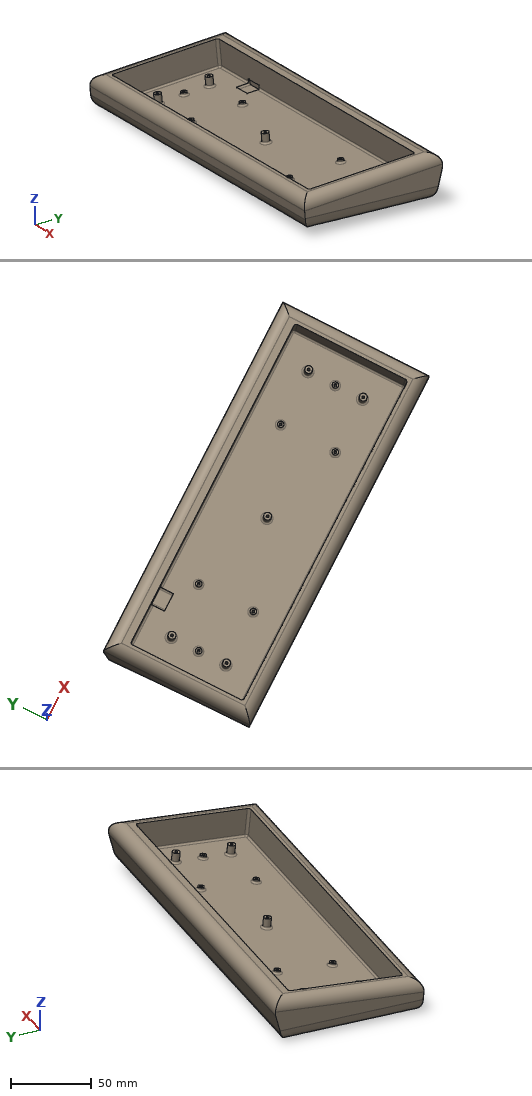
import cadquery as cq
import math

KEY_PITCH = 19.05
TYPING_TILT = 5.0
SIDE_TILT = 1.0
BACK_LEAN = 15.0

CASE_LENGTH = 250.0
FRONT_REACH = 49.8
TOP_DEPTH = 105.66
CENTRE_HEIGHT = 26.34
TOP_EDGE_RADIUS = 8.0
LOWER_BLEND_SIZE = 8.75
LOWER_BLEND_PULL = 0.65

CAVITY_LENGTH = 12 * KEY_PITCH + 1.0
CAVITY_WIDTH = 4 * KEY_PITCH + 2.5
CAVITY_DEPTH = 19.5
CAVITY_CORNER_RADIUS = 1.75
FLOOR_FILLET = 1.25

TALL_DIAMETER = 5.0
TALL_HEIGHT = 7.0
SHORT_DIAMETER = 4.0
SHORT_HEIGHT = 2.2
SCREW_HOLE_DIAMETER = 1.62
STANDOFF_FILLET = 1.3

RECESS_LENGTH = 12.5
RECESS_REACH = 9.0
RECESS_WALL_BITE = 1.0
RECESS_HEIGHT = 4.0
RECESS_DEPTH = 1.2
RECESS_CENTRE_X = -75.9
RECESS_FILLET = 1.1

TALL_POSITIONS = [(0, 0), (-5, -1), (-5, 1), (5, -1), (5, 1)]
SHORT_POSITIONS = [(-5, 0), (5, 0), (-3, -1), (-3, 1), (3, -1), (3, 1)]

ORIGIN = (0, 0, 0)
X_AXIS = (1, 0, 0)
Y_AXIS = (0, 1, 0)
FLOOR_Z = -CAVITY_DEPTH


def tilt_to_top_face(shape):
    """Turn a shape from the frame of the top face to the level frame."""
    return shape.rotate(ORIGIN, X_AXIS, TYPING_TILT)


def blended_outline(plane, left_top, left_bottom, right_bottom, right_top):
    """Closed four-sided outline whose two lower corners are blended smoothly."""
    corners = [cq.Vector(*point) for point in (left_top, left_bottom, right_bottom, right_top)]
    outline = cq.Workplane(plane).moveTo(*left_top)
    for before, corner, after in zip(corners, corners[1:], corners[2:]):
        toward_before = (before - corner).normalized()
        toward_after = (after - corner).normalized()
        setback = LOWER_BLEND_SIZE / math.tan(toward_before.getAngle(toward_after) / 2)
        pulled = setback * (1 - LOWER_BLEND_PULL)
        blend = [
            corner + toward_before * setback,
            corner + toward_before * pulled,
            corner + toward_after * pulled,
            corner + toward_after * setback,
        ]
        outline = outline.lineTo(blend[0].x, blend[0].y)
        outline = outline.bezier([(point.x, point.y) for point in blend])
    return outline.lineTo(*right_top).close()


def make_body():
    """Wedge with a level underside, sloped top, blended lower edges and rolled upper edges."""
    tilt = math.radians(TYPING_TILT)
    back_reach = TOP_DEPTH - FRONT_REACH
    front_y = -FRONT_REACH * math.cos(tilt)
    front_z = -FRONT_REACH * math.sin(tilt)
    back_y = back_reach * math.cos(tilt)
    back_z = back_reach * math.sin(tilt)
    front_inset = (front_z + CENTRE_HEIGHT) * math.tan(tilt)
    back_inset = (back_z + CENTRE_HEIGHT) * math.tan(math.radians(BACK_LEAN))
    side_outline = blended_outline(
        "YZ",
        (front_y, front_z),
        (front_y + front_inset, -CENTRE_HEIGHT),
        (back_y - back_inset, -CENTRE_HEIGHT),
        (back_y, back_z),
    )
    half_length = CASE_LENGTH / 2
    end_outline = blended_outline(
        "XZ",
        (-half_length, CENTRE_HEIGHT),
        (-half_length, -CENTRE_HEIGHT),
        (half_length, -CENTRE_HEIGHT),
        (half_length, CENTRE_HEIGHT),
    )
    side_prism = side_outline.extrude(CASE_LENGTH).translate((-half_length, 0, 0))
    end_prism = end_outline.extrude(2 * TOP_DEPTH).translate((0, TOP_DEPTH, 0))
    body = side_prism.intersect(end_prism)
    top_normal = cq.Vector(0, -math.sin(tilt), math.cos(tilt))
    top_face = body.faces(cq.selectors.DirectionNthSelector(top_normal, -1))
    return top_face.edges().fillet(TOP_EDGE_RADIUS)


def make_cavity():
    """Open tray with rounded corners and a small fillet around its floor."""
    return (
        cq.Workplane("XY")
        .box(CAVITY_LENGTH, CAVITY_WIDTH, 2 * CAVITY_DEPTH)
        .edges("|Z")
        .fillet(CAVITY_CORNER_RADIUS)
        .faces("<Z")
        .edges()
        .fillet(FLOOR_FILLET)
    )


def make_recess():
    """Shallow recess at the foot of the back wall with two rounded bottom edges."""
    width = RECESS_REACH + RECESS_WALL_BITE
    return (
        cq.Workplane("XY")
        .box(RECESS_LENGTH, width, RECESS_HEIGHT, centered=(True, False, False))
        .edges("|Y and <Z")
        .fillet(RECESS_FILLET)
        .translate((RECESS_CENTRE_X, CAVITY_WIDTH / 2 - RECESS_REACH, FLOOR_Z - RECESS_DEPTH))
    )


def make_standoff(diameter, height):
    """Hollow post, its foot flaring into the floor."""
    radius = diameter / 2
    hole_radius = SCREW_HOLE_DIAMETER / 2
    foot_radius = radius + STANDOFF_FILLET
    arc_offset = STANDOFF_FILLET * (1 - math.sqrt(0.5))
    return (
        cq.Workplane("XZ")
        .moveTo(hole_radius, 0)
        .lineTo(foot_radius, 0)
        .threePointArc((radius + arc_offset, arc_offset), (radius, STANDOFF_FILLET))
        .lineTo(radius, height)
        .lineTo(hole_radius, height)
        .close()
        .revolve(360, ORIGIN, Y_AXIS)
    )


def add_standoffs(case, positions, diameter, height):
    """Join one size of standoff to the floor at grid positions."""
    for column, row in positions:
        place = (column * KEY_PITCH, row * KEY_PITCH, FLOOR_Z)
        standoff = make_standoff(diameter, height).translate(place)
        case = case.union(tilt_to_top_face(standoff))
    return case


case = make_body()
case = case.cut(tilt_to_top_face(make_cavity()))
case = case.cut(tilt_to_top_face(make_recess()))
case = add_standoffs(case, TALL_POSITIONS, TALL_DIAMETER, TALL_HEIGHT)
case = add_standoffs(case, SHORT_POSITIONS, SHORT_DIAMETER, SHORT_HEIGHT)

result = case.rotate(ORIGIN, Y_AXIS, -SIDE_TILT)